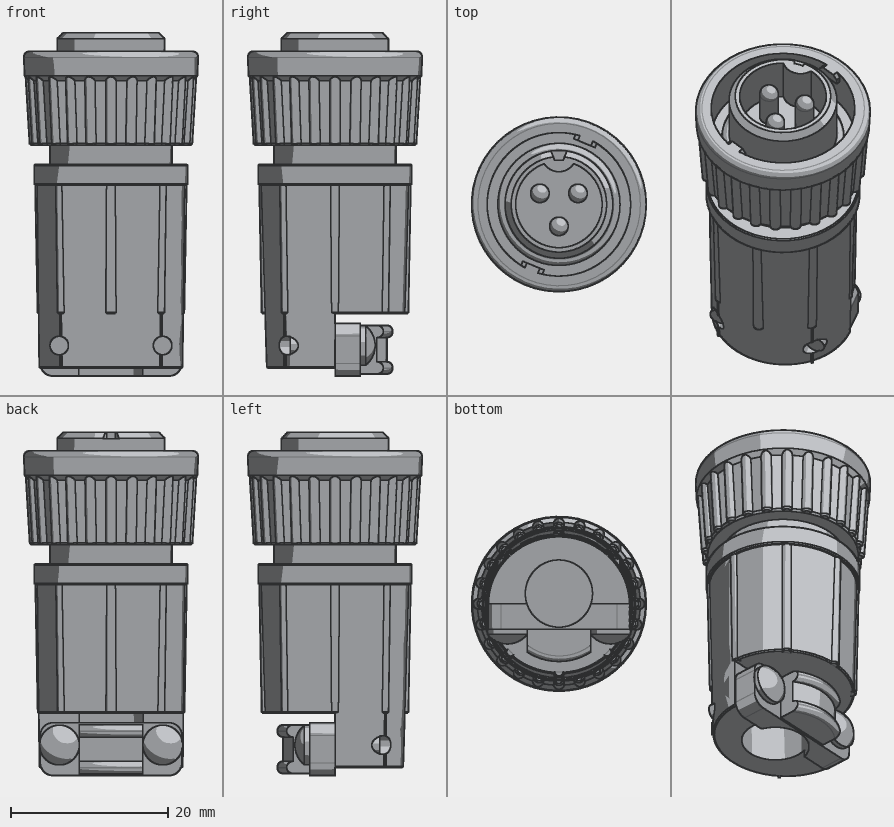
import cadquery as cq

TOTAL_HEIGHT = 43.65
RING_TOP = 41.27
RING_FLOOR = 35.55
BAND_BOTTOM = 38.15
KNURL_TOP = 37.5
RING_BOTTOM = 29.3
FLANGE_TOP = 26.9
FLANGE_BOTTOM = 24.25
BODY_CUT = 7.95
BODY_BOTTOM = 1.0

INSERT_RADIUS = 6.85
INSERT_CHAMFER = 0.8
CAVITY_RADIUS = 5.5
CAVITY_FLOOR = 37.05
KEY_RADIUS = 2.23
KEY_CENTRE_Y = 6.35
NOTCH_OUTER_WIDTH = 2.1
NOTCH_INNER_WIDTH = 1.1
NOTCH_INNER_Y = 5.65
NOTCH_DEPTH = 0.87
SHOULDER_TOP = 36.4
SHOULDER_FILLET = 0.85
PIN_RADIUS = 1.18
PIN_CIRCLE_RADIUS = 2.8
PIN_COUNT = 3
PIN_TIP = 42.65
PIN_ROOT_DEPTH = 0.45

RING_DIAMETER = 22.2
RING_RADIUS = RING_DIAMETER / 2
BAND_BOTTOM_RADIUS = 11.0
RING_EDGE_FILLET = 0.8
RING_BORE_RADIUS = 9.1
KNURL_ROOT_TOP_RADIUS = 10.35
KNURL_ROOT_BOTTOM_RADIUS = 9.8
KNURL_RIB_RADIUS = 0.7
KNURL_RIB_HEIGHT = 0.52
KNURL_CHAMFER = 0.25
KNURL_COUNT = 24
TAB_RADIUS = 8.4
TAB_THICKNESS = 1.15
TAB_HEIGHT = 1.3
TAB_WIDTH = 2.92
TAB_CHAMFER = 0.55
TAB_ANGLE = 67.4
TAB_COUNT = 2

NECK_RADIUS = 7.75
FLANGE_RADIUS = 9.77
EDGE_CHAMFER = 0.17
BODY_TOP_RADIUS = 9.4
BODY_BOTTOM_HALF_WIDTH = 9.1
BODY_BOTTOM_HALF_DEPTH = 8.7
BODY_RIB_RADIUS = 0.7
BODY_RIB_TOP_REACH = 9.65
BODY_RIB_BOTTOM_REACH = 9.35
BODY_RIB_COUNT = 8
SEAM_ANGLES = (-135, -45)
SEAM_WIDTH = 0.25
SEAM_REACH = 9.08

CLAMP_HALF_LENGTH = 9.0
CLAMP_HEIGHT = 6.7
CLAMP_THICKNESS = 3.25
CLAMP_CORNER_RADIUS = 1.6
CABLE_RADIUS = 4.28
CABLE_CENTRE_Y = -1.3
SADDLE_HALF_WIDTH = 4.0
SADDLE_RADIUS = 6.65
SADDLE_RIB_RADIUS = 7.35
SADDLE_MARGIN = 0.25
SADDLE_RIB_WIDTH = 1.55
SADDLE_RIB_FILLET = 0.75
SCREW_SPACING = 13.15
SCREW_Z = 3.9
SCREW_RADIUS = 1.18
SCREW_END_Y = -5.7
HEAD_RADIUS = 2.55
HEAD_RIM = 0.65
HEAD_HEIGHT = 1.88


def disc(radius, bottom, top):
    return cq.Workplane("XY").workplane(offset=bottom).circle(radius).extrude(top - bottom)


def rod_along_y(radius, x, z, start, end):
    plane = cq.Plane(origin=(x, start, z), xDir=(1, 0, 0), normal=(0, 1, 0))
    return cq.Workplane(plane).circle(radius).extrude(end - start)


def tapered_rib(rib_radius, bottom_point, top_point, end_chamfer):
    """Round rib between two (radius, height) points of the XZ plane, with a chamfered lower end."""
    run = top_point[0] - bottom_point[0]
    rise = top_point[1] - bottom_point[1]
    axis = cq.Vector(run, 0, rise)
    start = cq.Vector(bottom_point[0], 0, bottom_point[1])
    rod = cq.Solid.makeCylinder(rib_radius, axis.Length, start, axis)
    return cq.Workplane(rod).faces("<Z").edges().chamfer(end_chamfer)


def around_axis(shape, count):
    copies = cq.Workplane()
    for index in range(count):
        turned = shape.rotate((0, 0, 0), (0, 0, 1), index * 360 / count)
        copies = copies.add(turned.vals())
    return copies


def coupling_ring():
    """Plain band above a tapered knurled grip, with an open bore around the insert."""
    band = (
        cq.Workplane("XZ")
        .moveTo(0, KNURL_TOP)
        .lineTo(KNURL_ROOT_TOP_RADIUS, KNURL_TOP)
        .lineTo(BAND_BOTTOM_RADIUS, BAND_BOTTOM)
        .lineTo(RING_RADIUS, RING_TOP - RING_EDGE_FILLET)
        .radiusArc((RING_RADIUS - RING_EDGE_FILLET, RING_TOP), -RING_EDGE_FILLET)
        .lineTo(0, RING_TOP)
        .close()
        .revolve(360, (0, 0, 0), (0, 1, 0))
    )
    grip = (
        cq.Workplane("XZ")
        .moveTo(0, RING_BOTTOM)
        .lineTo(KNURL_ROOT_BOTTOM_RADIUS - KNURL_CHAMFER, RING_BOTTOM)
        .lineTo(KNURL_ROOT_BOTTOM_RADIUS, RING_BOTTOM + KNURL_CHAMFER)
        .lineTo(KNURL_ROOT_TOP_RADIUS, KNURL_TOP)
        .lineTo(0, KNURL_TOP)
        .close()
        .revolve(360, (0, 0, 0), (0, 1, 0))
    )
    inset = KNURL_RIB_RADIUS - KNURL_RIB_HEIGHT
    rib = tapered_rib(
        KNURL_RIB_RADIUS,
        (KNURL_ROOT_BOTTOM_RADIUS - inset, RING_BOTTOM),
        (KNURL_ROOT_TOP_RADIUS - inset, BAND_BOTTOM),
        KNURL_CHAMFER,
    )
    ribs = around_axis(rib, KNURL_COUNT).intersect(disc(RING_RADIUS, RING_BOTTOM, BAND_BOTTOM))
    ring = band.union(grip).union(ribs)
    return ring.cut(disc(RING_BORE_RADIUS, RING_FLOOR, RING_TOP))


def ring_tabs():
    """Two opposite tabs on the bore wall, flush with the ring top and sloped at both ends."""
    tab = (
        cq.Workplane("XY")
        .box(TAB_THICKNESS, TAB_WIDTH, TAB_HEIGHT, centered=(False, True, False))
        .faces(">Z")
        .edges("|X")
        .chamfer(TAB_CHAMFER)
        .translate((TAB_RADIUS, 0, RING_TOP - TAB_HEIGHT))
        .rotate((0, 0, 0), (0, 0, 1), TAB_ANGLE)
    )
    wall = disc(RING_RADIUS - RING_EDGE_FILLET, RING_FLOOR, RING_TOP)
    return around_axis(tab, TAB_COUNT).intersect(wall)


def contact_insert():
    """Keyed sleeve on a rounded shoulder, holding three dome-tipped pins."""
    shoulder = disc(NECK_RADIUS, RING_BOTTOM, SHOULDER_TOP).faces(">Z").edges().fillet(SHOULDER_FILLET)
    sleeve = disc(INSERT_RADIUS, RING_BOTTOM, TOTAL_HEIGHT).faces(">Z").edges().chamfer(INSERT_CHAMFER)
    key = disc(KEY_RADIUS, CAVITY_FLOOR, TOTAL_HEIGHT).translate((0, KEY_CENTRE_Y, 0))
    cavity = disc(CAVITY_RADIUS, CAVITY_FLOOR, TOTAL_HEIGHT).cut(key)
    notch = (
        cq.Workplane("XY")
        .workplane(offset=TOTAL_HEIGHT - NOTCH_DEPTH)
        .moveTo(-NOTCH_INNER_WIDTH / 2, NOTCH_INNER_Y)
        .lineTo(NOTCH_INNER_WIDTH / 2, NOTCH_INNER_Y)
        .lineTo(NOTCH_OUTER_WIDTH / 2, INSERT_RADIUS)
        .lineTo(-NOTCH_OUTER_WIDTH / 2, INSERT_RADIUS)
        .close()
        .extrude(NOTCH_DEPTH)
    )
    pin = (
        disc(PIN_RADIUS, CAVITY_FLOOR - PIN_ROOT_DEPTH, PIN_TIP - PIN_RADIUS)
        .union(cq.Workplane("XY").sphere(PIN_RADIUS).translate((0, 0, PIN_TIP - PIN_RADIUS)))
        .translate((0, -PIN_CIRCLE_RADIUS, 0))
    )
    return shoulder.union(sleeve.cut(cavity).cut(notch)).union(around_axis(pin, PIN_COUNT))


def back_shell():
    """Neck, flange and ribbed body that turns from round to oval, its rear half cut short for the clamp."""
    neck = disc(NECK_RADIUS, FLANGE_BOTTOM, RING_BOTTOM)
    flange = disc(FLANGE_RADIUS, FLANGE_BOTTOM, FLANGE_TOP).edges().chamfer(EDGE_CHAMFER)
    body = (
        cq.Workplane("XY")
        .workplane(offset=BODY_BOTTOM)
        .ellipse(BODY_BOTTOM_HALF_WIDTH, BODY_BOTTOM_HALF_DEPTH)
        .workplane(offset=FLANGE_BOTTOM - BODY_BOTTOM)
        .ellipse(BODY_TOP_RADIUS, BODY_TOP_RADIUS)
        .loft()
    )
    body = body.faces("<Z").edges().chamfer(EDGE_CHAMFER)
    below_cut = cq.Workplane("XY").box(
        2 * FLANGE_RADIUS, 2 * FLANGE_RADIUS, BODY_CUT, centered=(True, True, False)
    )
    upper_body = body.cut(below_cut).faces("<Z").edges().chamfer(EDGE_CHAMFER)
    front_half = (
        cq.Workplane("XY")
        .box(2 * FLANGE_RADIUS, FLANGE_RADIUS, FLANGE_BOTTOM, centered=(True, False, False))
        .translate((0, -FLANGE_RADIUS, 0))
    )
    body = upper_body.union(body.intersect(front_half))
    rib = tapered_rib(
        BODY_RIB_RADIUS,
        (BODY_RIB_BOTTOM_REACH - BODY_RIB_RADIUS, BODY_CUT),
        (BODY_RIB_TOP_REACH - BODY_RIB_RADIUS, FLANGE_BOTTOM),
        EDGE_CHAMFER,
    )
    seam = (
        cq.Workplane("XY")
        .box(SEAM_REACH, SEAM_WIDTH, BODY_CUT - BODY_BOTTOM, centered=(False, True, False))
        .translate((0, 0, BODY_BOTTOM))
    )
    shell = neck.union(flange).union(body).union(around_axis(rib, BODY_RIB_COUNT))
    for angle in SEAM_ANGLES:
        shell = shell.union(seam.rotate((0, 0, 0), (0, 0, 1), angle))
    return shell


def cable_clamp():
    """Rounded bar with a two-ribbed saddle on its back."""
    bar = (
        cq.Workplane("XY")
        .box(2 * CLAMP_HALF_LENGTH, CLAMP_THICKNESS, CLAMP_HEIGHT, centered=(True, False, False))
        .edges("|Y")
        .fillet(CLAMP_CORNER_RADIUS)
    )
    rib = disc(SADDLE_RIB_RADIUS, 0, SADDLE_RIB_WIDTH).edges().fillet(SADDLE_RIB_FILLET)
    saddle_top = CLAMP_HEIGHT - SADDLE_MARGIN
    saddle = (
        disc(SADDLE_RADIUS, SADDLE_MARGIN + SADDLE_RIB_WIDTH / 2, saddle_top - SADDLE_RIB_WIDTH / 2)
        .union(rib.translate((0, 0, SADDLE_MARGIN)))
        .union(rib.translate((0, 0, saddle_top - SADDLE_RIB_WIDTH)))
    )
    behind_bar = cq.Workplane("XY").box(
        2 * SADDLE_HALF_WIDTH, FLANGE_RADIUS, CLAMP_HEIGHT, centered=(True, False, False)
    )
    return bar.union(saddle.intersect(behind_bar))


def screw_head():
    """Domed head standing on the bar, turned about its own axis, which is the local Y axis."""
    dome_height = HEAD_HEIGHT - HEAD_RIM
    dome_radius = (HEAD_RADIUS**2 + dome_height**2) / (2 * dome_height)
    return (
        cq.Workplane("XY")
        .lineTo(HEAD_RADIUS, 0)
        .lineTo(HEAD_RADIUS, HEAD_RIM)
        .radiusArc((0, HEAD_HEIGHT), -dome_radius)
        .close()
        .revolve(360, (0, 0, 0), (0, 1, 0))
    )


def screw(x):
    shank = rod_along_y(SCREW_RADIUS, x, SCREW_Z, SCREW_END_Y, CLAMP_THICKNESS)
    return shank.union(screw_head().translate((x, CLAMP_THICKNESS, SCREW_Z)))


connector = back_shell().union(coupling_ring()).union(ring_tabs()).union(contact_insert())
connector = connector.union(cable_clamp())
connector = connector.cut(disc(CABLE_RADIUS, 0, BODY_CUT).translate((0, CABLE_CENTRE_Y, 0)))
for side in (-1, 1):
    screw_x = side * SCREW_SPACING / 2
    connector = connector.cut(rod_along_y(SCREW_RADIUS, screw_x, SCREW_Z, -FLANGE_RADIUS, SCREW_END_Y))
    connector = connector.union(screw(screw_x))
result = connector